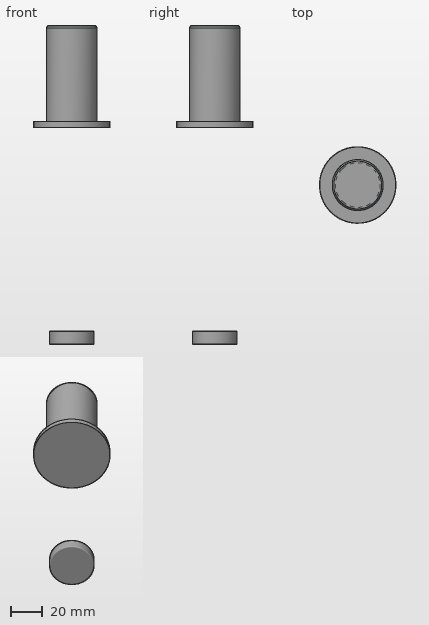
import cadquery as cq

total_height = 200.0

pin_length = 64.0
flange_diameter = 48.0
flange_thickness = 4.0
shaft_diameter = 32.0
shaft_chamfer_height = 1.5
shaft_chamfer_width = 1.0
flange_bottom = total_height - pin_length

disc_diameter = 28.0
disc_thickness = 8.5
disc_fillet = 0.8


def make_pin():
    """Round shaft with a steeply chamfered top end, on a thin flange."""
    flange = (
        cq.Workplane("XY", origin=(0, 0, flange_bottom))
        .circle(flange_diameter / 2)
        .extrude(flange_thickness)
    )
    shaft = (
        cq.Workplane("XY", origin=(0, 0, flange_bottom))
        .circle(shaft_diameter / 2)
        .extrude(pin_length)
        .faces(">Z")
        .chamfer(shaft_chamfer_height, shaft_chamfer_width)
    )
    return flange.union(shaft)


def make_disc():
    """Plain disc with both rims rounded."""
    return (
        cq.Workplane("XY")
        .circle(disc_diameter / 2)
        .extrude(disc_thickness)
        .faces("<Z or >Z")
        .fillet(disc_fillet)
    )


pin = make_pin()
disc = make_disc()

result = cq.Compound.makeCompound([pin.val(), disc.val()])